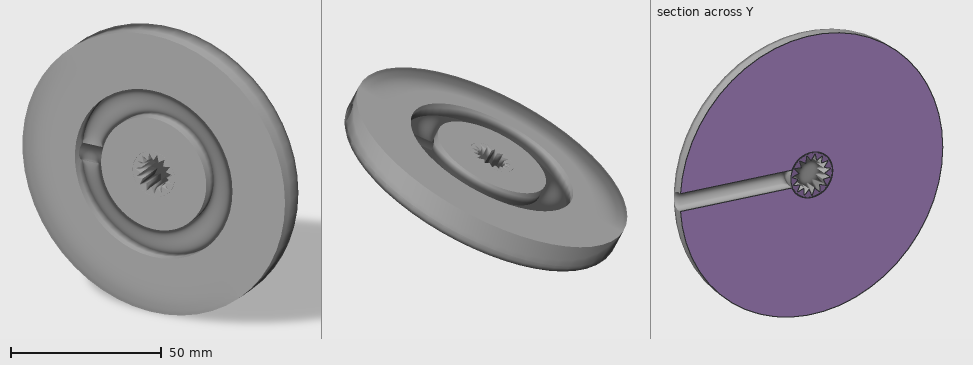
import cadquery as cq
import math

disc_diameter = 100.0
disc_thickness = 12.0
back_fillet = 4.0

ring_outer_diameter = 60.0
boss_diameter = 40.0
ring_depth = 5.0

radial_hole_diameter = 6.5
radial_hole_y = disc_thickness / 2

bore_diameter = 16.0
insert_diameter = 15.9
insert_length = 10.0
tooth_count = 15
spline_tip_radius = 7.3
spline_root_radius = 4.9
first_tip_angle = -88.5


def cylinder(diameter, length):
    """Cylinder on the disc axis, from the front face toward +Y."""
    return cq.Workplane("XZ").circle(diameter / 2).extrude(-length)


def make_radial_hole():
    """Cutter along X that runs from the rim, through the boss, into the bore."""
    return (
        cq.Workplane("YZ", origin=(-disc_diameter / 2, 0, 0))
        .center(radial_hole_y, 0)
        .circle(radial_hole_diameter / 2)
        .extrude(disc_diameter / 2)
    )


def make_disc():
    disc = cylinder(disc_diameter, disc_thickness).faces(">Y").edges().fillet(back_fillet)
    ring = cylinder(ring_outer_diameter, ring_depth).cut(cylinder(boss_diameter, ring_depth))
    bore = cylinder(bore_diameter, insert_length)
    return disc.cut(ring).cut(make_radial_hole()).cut(bore)


def spline_points():
    """Star outline that alternates between tooth spaces and tooth crests."""
    points = []
    half_pitch = 180.0 / tooth_count
    for i in range(2 * tooth_count):
        radius = spline_tip_radius if i % 2 == 0 else spline_root_radius
        angle = math.radians(first_tip_angle + i * half_pitch)
        points.append((radius * math.cos(angle), radius * math.sin(angle)))
    return points


def make_insert():
    spline = cq.Workplane("XZ").polyline(spline_points()).close().extrude(-insert_length)
    return cylinder(insert_diameter, insert_length).cut(spline)


disc = make_disc()
insert = make_insert()
result = cq.Compound.makeCompound([disc.val(), insert.val()])